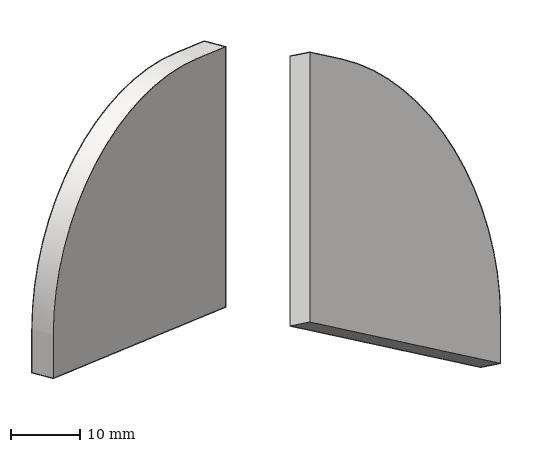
import cadquery as cq

thickness = 4.0
side = 40.0
corner_radius = 33.3

result = (
    cq.Workplane("XY")
    .box(thickness, side, side)
    .edges("|X and <Y and >Z")
    .fillet(corner_radius)
)